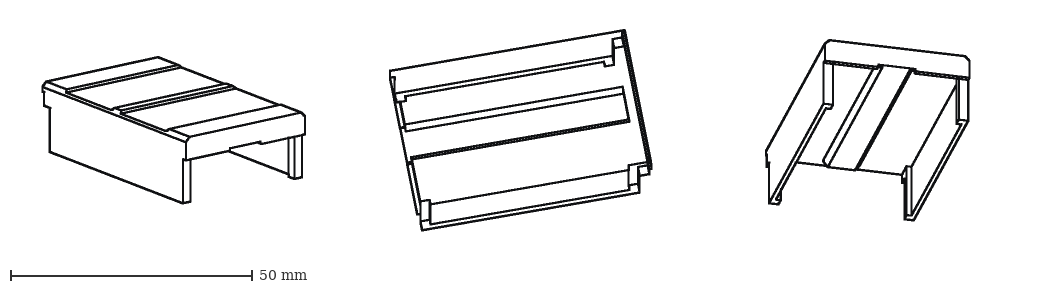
import cadquery as cq

length = 49.5
width = 31.0
height = 14.5

roof_thickness = 3.05
edge_chamfer = 1.0
lip_overhang = 0.5
lip_thickness = 2.05

band_depth = 4.95
skirt_start = 2.5
skirt_end = 48.45
wall_thickness = 1.0
pad_thickness = 2.05
pad_length = 2.0

recess_depth = 0.5
recess_margin = 7.05
divider_width = 2.3

notch_half_width = 3.95
notch_roof_depth = 4.4
notch_chamfer = 0.2

rib_top_half_width = 3.95
rib_bottom_half_width = 2.9


def box(x_range, y_range, z_range):
    """Box spanning the given (low, high) ranges."""
    lows, highs = zip(x_range, y_range, z_range)
    sizes = [high - low for low, high in zip(lows, highs)]
    return cq.Workplane("XY").box(*sizes, centered=False).translate(lows)


def extrude_along_x(points, start, end):
    """Extrude a (Y, Z) outline from X = start to X = end."""
    return cq.Workplane("YZ").polyline(points).close().extrude(end - start).translate((start, 0, 0))


def make_shell():
    """Stepped side profile with chamfered long top edges, still solid inside."""
    profile = [
        (0, 0),
        (length, 0),
        (length, -band_depth),
        (skirt_end, -band_depth),
        (skirt_end, -height),
        (skirt_start, -height),
        (skirt_start, -band_depth),
        (lip_overhang, -band_depth),
        (lip_overhang, -lip_thickness),
        (0, -lip_thickness),
    ]
    block = cq.Workplane("XZ").polyline(profile).close().extrude(width / 2, both=True)
    return block.faces(">Z").edges("|X").chamfer(edge_chamfer)


def make_cavity():
    """Space between the walls, wider between the pads at the skirt ends."""
    narrow_half = width / 2 - pad_thickness
    wide_half = width / 2 - wall_thickness
    depth = (-height, -roof_thickness)
    narrow = box((0, skirt_end), (-narrow_half, narrow_half), depth)
    wide_span = (skirt_start + pad_length, skirt_end - pad_length)
    return narrow.union(box(wide_span, (-wide_half, wide_half), depth))


def make_notch():
    """Opening through the +X end wall, flared at its lower edge."""
    flare_half = notch_half_width + notch_chamfer
    outline = [
        (-flare_half, -band_depth),
        (-notch_half_width, -band_depth + notch_chamfer),
        (-notch_half_width, -notch_roof_depth),
        (notch_half_width, -notch_roof_depth),
        (notch_half_width, -band_depth + notch_chamfer),
        (flare_half, -band_depth),
    ]
    return extrude_along_x(outline, skirt_end, length)


def make_rib():
    """Tapered rib along the roof, level with the roof of the notch."""
    outline = [
        (-rib_top_half_width, -roof_thickness),
        (rib_top_half_width, -roof_thickness),
        (rib_bottom_half_width, -notch_roof_depth),
        (-rib_bottom_half_width, -notch_roof_depth),
    ]
    return extrude_along_x(outline, skirt_start, skirt_end)


def make_recess(start, end):
    """Shallow recess across the full width between two X positions."""
    outline = [
        (start, 0),
        (end, 0),
        (end - recess_depth, -recess_depth),
        (start + recess_depth, -recess_depth),
    ]
    return cq.Workplane("XZ").polyline(outline).close().extrude(width / 2, both=True)


result = make_shell().cut(make_cavity()).cut(make_notch()).union(make_rib())

divider_start = (length - divider_width) / 2
recess_length = divider_start - recess_margin
for recess_start in (recess_margin, divider_start + divider_width):
    result = result.cut(make_recess(recess_start, recess_start + recess_length))